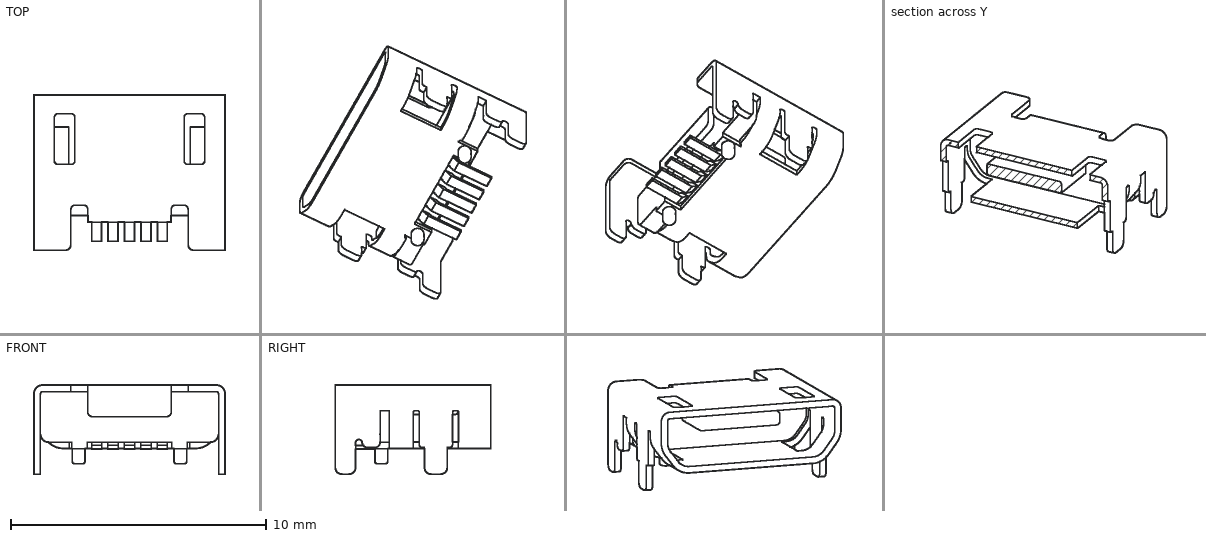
import cadquery as cq

WIDTH = 7.5
LENGTH = 6.1
HEIGHT = 3.5
SHEET = 0.26
TOP_BEND = 0.35
SLEEVE_DEPTH = 2.5
LOWER_BEND = 0.84
SLOPE_TOP = 1.51
SLOPE_INSET = 0.76
SLEEVE_REAR = 2.115
CUT_TOP = 1.005
CLEAR = 0.375

WINDOW_REAR, WINDOW_FRONT = 3.06, 4.83
WINDOW_INSET = 1.365
WINDOW_ROUND = 0.075
NOTCH = 0.23
STRIP_DEPTH = 2.45
STRIP_ROUND = 0.11
SHOULDER = 0.2
LEG_ROUND = 0.26

FLAP_FRONT = 1.76
FLAP_ROUND = 0.21
REAR_LEG = 0.8
RELIEF = 0.25
RELIEF_TOP = 2.145

SLOT_X = 2.54
SLOT_WIDTH = 0.795
SLOT_REAR, SLOT_FRONT = 3.375, 5.35
SLOT_ROUND = 0.12
CUTOUT_FRONT = 1.78
CUTOUT_HALF = 2.295
CUTOUT_ROUND = 0.17
EAR_ROUND = 0.225
TAB_HALF = 1.635
TAB_DEPTH = 1.245
TAB_ROUND = 0.19

BODY_REAR = 1.365
BODY_FRONT = 2.85
BODY_DEPTH = 2.25
BODY_ROUND = 0.315
TONGUE_HALF = 1.7
TONGUE_TOP, TONGUE_BOTTOM = 0.6, 1.16
TONGUE_FRONT = 4.84
TONGUE_ROUND = 0.15
FOOT_INNER, FOOT_OUTER = 1.66, 2.26
FOOT_SEAT = 0.105
POST_X, POST_Y = 1.995, 1.81
POST_DIAMETER = 0.51
POST_DEPTH = 3.1
POST_ROUND = 0.105

PIN_COUNT = 5
PIN_PITCH = 0.645
PIN_WIDTH = 0.4
PIN_TOP, PIN_BOTTOM = 2.37, 2.52
PIN_REAR = 0.35
PIN_BEND = 1.65
PIN_RISE = 0.3

HALF = WIDTH / 2


def block(x0, x1, y0, y1, top, bottom):
    """Box between two X, two Y and two depths below the roof."""
    box = cq.Workplane("XY").box(x1 - x0, y1 - y0, bottom - top, centered=False)
    return box.translate((x0, y0, -bottom))


def both_sides(solid):
    """A left-hand feature together with its mirror image."""
    return solid.union(solid.mirror("YZ"))


def sleeve_outline():
    """Outer cross-section of the shell, as a solid of full length."""
    floor_half = HALF - SLOPE_INSET
    points = [
        (-HALF, 0), (HALF, 0), (HALF, -SLOPE_TOP),
        (floor_half, -SLEEVE_DEPTH), (-floor_half, -SLEEVE_DEPTH), (-HALF, -SLOPE_TOP),
    ]
    solid = cq.Workplane("XZ").polyline(points).close().extrude(-LENGTH)
    solid = solid.edges("|Y").edges("not >Z").fillet(LOWER_BEND)
    return solid.edges("|Y").edges(">Z").fillet(TOP_BEND)


def sleeve_tube(outline):
    """The folded sheet, closed all round and open at both ends."""
    return outline.faces("|Y").shell(-SHEET)


def side_windows():
    """Cutter for the window around one middle leg."""
    left, right = -HALF - CLEAR, -HALF + WINDOW_INSET
    low = SLEEVE_DEPTH + CLEAR
    cutter = block(left, right, WINDOW_REAR + NOTCH, WINDOW_FRONT - NOTCH, CUT_TOP, low)
    for rear in (WINDOW_REAR, WINDOW_FRONT - NOTCH):
        notch = block(left, right, rear, rear + NOTCH, CUT_TOP, low)
        cutter = cutter.union(notch.edges("|X and >Z").fillet(WINDOW_ROUND))
    return cutter


def middle_leg():
    """Flat strip left in the window, narrowing to a leg."""
    rear, front = WINDOW_REAR + NOTCH, WINDOW_FRONT - NOTCH
    inner = -HALF + SHEET
    strip = block(-HALF, inner, rear, front, CUT_TOP, STRIP_DEPTH)
    strip = strip.edges("|X and <Z").fillet(STRIP_ROUND)
    leg = block(-HALF, inner, rear + SHOULDER, front - SHOULDER, CUT_TOP, HEIGHT)
    return strip.union(leg.edges("|X and <Z").fillet(LEG_ROUND))


def rear_flap():
    """Side wall behind the sleeve with its leg and the relief between them."""
    inner = -HALF + SHEET
    flap = block(-HALF, inner, 0, FLAP_FRONT, CUT_TOP, STRIP_DEPTH)
    relief_front = REAR_LEG + RELIEF
    radius = RELIEF / 2
    relief = block(-HALF, inner, REAR_LEG, relief_front, RELIEF_TOP + radius, HEIGHT)
    relief_end = (
        cq.Workplane("YZ").workplane(offset=-HALF).center(REAR_LEG + radius, -RELIEF_TOP - radius)
        .circle(radius).extrude(SHEET)
    )
    lobe = block(-HALF, inner, relief_front, FLAP_FRONT, RELIEF_TOP, STRIP_DEPTH)
    corners = lobe.cut(lobe.edges("|X and <Z").fillet(FLAP_ROUND))
    leg = block(-HALF, inner, 0, REAR_LEG, CUT_TOP, HEIGHT)
    leg = leg.edges("|X and <Z").fillet(LEG_ROUND)
    return flap.cut(relief.union(relief_end)).cut(corners).union(leg)


def roof_cuts():
    """Cutter for the latch slots and for the gaps that free the rear tab."""
    slot_left = -SLOT_X - SLOT_WIDTH / 2
    slot = block(slot_left, slot_left + SLOT_WIDTH, SLOT_REAR, SLOT_FRONT, -CLEAR, SHEET)
    slot = slot.edges("|Z").fillet(SLOT_ROUND)
    gap = block(-CUTOUT_HALF, -TAB_HALF, -CLEAR, CUTOUT_FRONT, -CLEAR, SHEET)
    gap = gap.edges("|Z and >Y").fillet(CUTOUT_ROUND)
    behind_tab = block(-TAB_HALF, TAB_HALF, -CLEAR, BODY_REAR, -CLEAR, SHEET)
    ear_edge = block(-CUTOUT_HALF - EAR_ROUND, -CUTOUT_HALF, 0, EAR_ROUND, 0, SHEET)
    ear_round = (
        cq.Workplane("XY").center(-CUTOUT_HALF - EAR_ROUND, EAR_ROUND).circle(EAR_ROUND).extrude(-SHEET)
    )
    return both_sides(slot.union(gap).union(ear_edge.cut(ear_round))).union(behind_tab)


def rear_tab():
    """Tab of the roof folded down over the rear face of the body."""
    outer = BODY_REAR - SHEET
    tab = (
        cq.Workplane("YZ").moveTo(BODY_REAR, 0).radiusArc((outer, -SHEET), -SHEET)
        .lineTo(outer, -TAB_DEPTH).lineTo(BODY_REAR, -TAB_DEPTH).close()
        .extrude(TAB_HALF, both=True)
    )
    return tab.edges("|Y and <Z").fillet(TAB_ROUND)


def plastic_body(outline):
    """Body block, tongue, feet and locating posts."""
    side = HALF - SHEET
    rear = block(-side, side, BODY_REAR, SLEEVE_REAR, SHEET, BODY_DEPTH)
    rear = rear.edges("|Y and <Z").fillet(BODY_ROUND)
    inside = block(-side, side, SLEEVE_REAR, BODY_FRONT, SHEET, BODY_DEPTH).intersect(outline)
    tongue = block(-TONGUE_HALF, TONGUE_HALF, SLEEVE_REAR, TONGUE_FRONT, TONGUE_TOP, TONGUE_BOTTOM)
    tongue = tongue.edges("|Y or >Y").fillet(TONGUE_ROUND)
    foot = block(-FOOT_OUTER, -FOOT_INNER, BODY_REAR, SLEEVE_REAR + FOOT_SEAT, SHEET, SLEEVE_DEPTH)
    post = (
        cq.Workplane("XY").workplane(offset=-POST_DEPTH).center(-POST_X, POST_Y)
        .circle(POST_DIAMETER / 2).extrude(POST_DEPTH - SHEET)
        .faces("<Z").edges().fillet(POST_ROUND)
    )
    return rear.union(inside).union(tongue).union(both_sides(foot.union(post)))


def pins():
    """Row of contact tails, each bent up into the body."""
    thick = PIN_BOTTOM - PIN_TOP
    points = [
        (PIN_REAR, -PIN_BOTTOM), (PIN_BEND + thick, -PIN_BOTTOM),
        (PIN_BEND + thick + PIN_RISE, PIN_RISE - PIN_BOTTOM),
        (PIN_BEND + PIN_RISE, PIN_RISE - PIN_TOP), (PIN_BEND, -PIN_TOP), (PIN_REAR, -PIN_TOP),
    ]
    row = cq.Workplane("XY")
    for i in range(PIN_COUNT):
        x = (i - (PIN_COUNT - 1) / 2) * PIN_PITCH
        pin = cq.Workplane("YZ").polyline(points).close().extrude(PIN_WIDTH / 2, both=True)
        row = row.union(pin.translate((x, 0, 0)))
    return row


def foot_corner():
    """Cutter that rounds the floor corner beside a foot."""
    return (
        cq.Workplane("XY").workplane(offset=-SLEEVE_DEPTH)
        .moveTo(-FOOT_OUTER, SLEEVE_REAR).lineTo(-FOOT_OUTER, SLEEVE_REAR + FOOT_SEAT)
        .radiusArc((-FOOT_OUTER - FOOT_SEAT, SLEEVE_REAR), -FOOT_SEAT).close()
        .extrude(SLEEVE_DEPTH - BODY_DEPTH)
    )


outline = sleeve_outline()
shell = sleeve_tube(outline)
shell = shell.cut(block(-HALF, HALF, 0, SLEEVE_REAR, CUT_TOP, SLEEVE_DEPTH))
shell = shell.cut(both_sides(side_windows())).cut(both_sides(foot_corner())).cut(roof_cuts())
shell = shell.union(both_sides(middle_leg().union(rear_flap()))).union(rear_tab())

result = shell.union(plastic_body(outline)).union(pins())